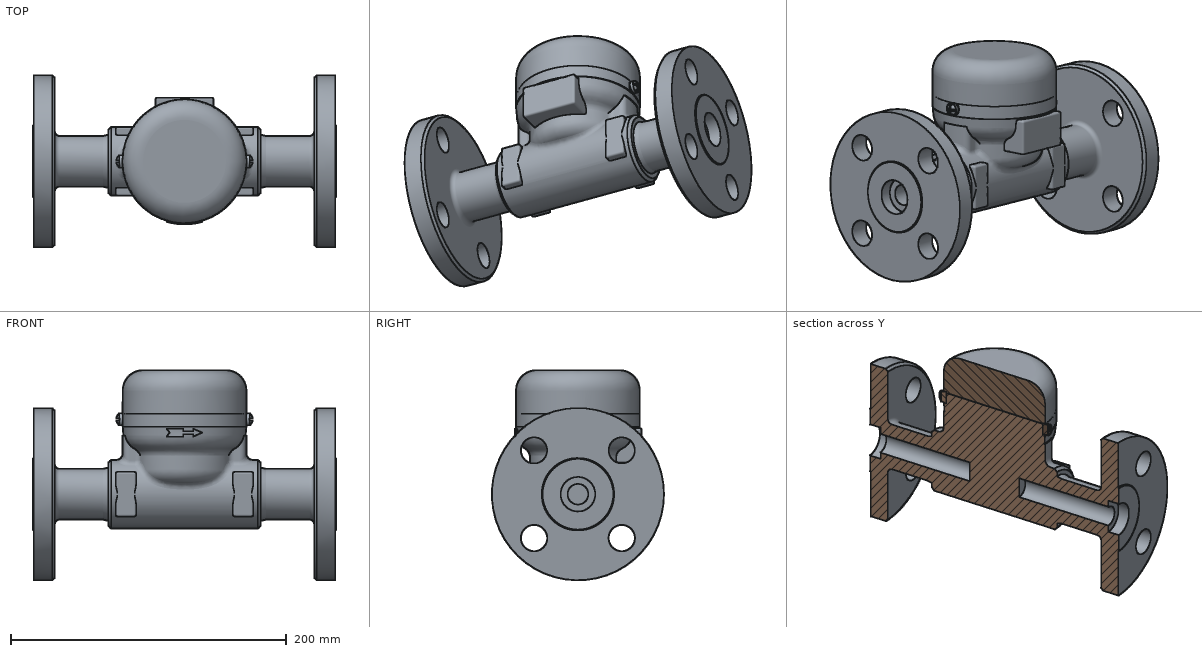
import cadquery as cq


OVERALL_LENGTH = 220.0
FLANGE_DIA = 125.0
FLANGE_THICKNESS = 15.5
FLANGE_CHAMFER = 2.0
RAISED_FACE_DIA = 52.5
RAISED_FACE_HEIGHT = 0.7
BOLT_HOLE_DIA = 19.0
BOLT_SPACING = 63.5
PIPE_DIA = 37.0
FLANGE_FILLET = 3.3
PIPE_TAPER_DIA = 38.7
PIPE_TAPER_LENGTH = 3.5
SOCKET_DIA = 25.0
SOCKET_DEPTH = 9.2
BORE_DIA = 15.0
BORE_DEPTH = 88.0

BARREL_DIA = 50.0
BARREL_LENGTH = 110.9
BARREL_CHAMFER = 2.2

PAD_CENTER_X = 42.5
PAD_WIDTH = 15.0
PAD_HEIGHT = 32.3
EDGE_ROUND = 1.5

DRUM_DIA = 90.0
DRUM_FOOT_DIA = 88.7
SPIGOT_DIA = 88.7
COVER_TOP_Z = 90.0
COVER_ROUND = 15.0
SPIGOT_TOP_Z = 58.5
COVER_RIM_Z = 49.0
DRUM_FOOT_Z = 42.5
UNDERCUT_RADIUS = 38.3
UNDERCUT_Z = 33.0
NECK_DIA = 70.0
NECK_TOP_Z = 28.0
NECK_BOTTOM_Z = 17.8
NECK_ROUND = 10.1
JOINT_FILLET = 4.5

WEB_WIDTH = 24.2
WEB_CORNER_ROUND = 4.5

BOSS_WIDTH = 42.2
BOSS_TOP_Z = 48.0
BOSS_BOTTOM_Z = 22.9
BOSS_FACE_Y = 46.2

ARROW_Z = 44.7
ARROW_TAIL_X = -13.0
ARROW_TIP_X = 12.8
ARROW_NOTCH = 2.2
ARROW_TAIL_END_X = -0.9
ARROW_HEAD_X = 6.4
ARROW_HALF_HEIGHT = 2.9
ARROW_SHAFT_HALF = 1.0
ARROW_FACE_DIA = 91.5

SCREW_DIA = 9.0
SCREW_Z = 54.3
SCREW_RIM_X = 47.3
SCREW_TIP_X = 49.5
SCREW_SEAT_DEPTH = 2.2
SCREW_SLOT_WIDTH = 1.3

HALF_LENGTH = OVERALL_LENGTH / 2
FLANGE_OUTER_X = HALF_LENGTH - RAISED_FACE_HEIGHT
FLANGE_INNER_X = FLANGE_OUTER_X - FLANGE_THICKNESS
DRUM_RADIUS = DRUM_DIA / 2
DRUM_FOOT_RADIUS = DRUM_FOOT_DIA / 2
NECK_RADIUS = NECK_DIA / 2
SCREW_SEAT_X = DRUM_RADIUS - SCREW_SEAT_DEPTH
SIDES = (-1, 1)


def x_cylinder(diameter, x_start, x_end):
    return cq.Workplane("YZ", origin=(x_start, 0, 0)).circle(diameter / 2).extrude(x_end - x_start)


def make_barrel():
    barrel = x_cylinder(BARREL_DIA, -BARREL_LENGTH / 2, BARREL_LENGTH / 2)
    return barrel.faces("<X or >X").chamfer(BARREL_CHAMFER)


def make_drum():
    """Spigot for the cover, lower drum, its curved underside, the neck and the neck's rounded bottom."""
    return (
        cq.Workplane("XZ")
        .moveTo(0, SPIGOT_TOP_Z)
        .lineTo(SPIGOT_DIA / 2, SPIGOT_TOP_Z)
        .lineTo(SPIGOT_DIA / 2, COVER_RIM_Z)
        .lineTo(DRUM_RADIUS, COVER_RIM_Z)
        .lineTo(DRUM_FOOT_RADIUS, DRUM_FOOT_Z)
        .tangentArcPoint((UNDERCUT_RADIUS, UNDERCUT_Z), relative=False)
        .tangentArcPoint((NECK_RADIUS, NECK_TOP_Z), relative=False)
        .lineTo(NECK_RADIUS, NECK_BOTTOM_Z)
        .radiusArc((NECK_RADIUS - NECK_ROUND, NECK_BOTTOM_Z - NECK_ROUND), NECK_ROUND)
        .lineTo(0, NECK_BOTTOM_Z - NECK_ROUND)
        .close()
        .revolve(360, (0, 0, 0), (0, 1, 0))
    )


def make_webs():
    height = DRUM_FOOT_Z
    bar = cq.Workplane("XY").rect(DRUM_DIA, WEB_WIDTH).extrude(height)
    column = cq.Workplane("XY").circle(DRUM_RADIUS).extrude(height)
    webs = bar.intersect(column)
    return webs.edges("|Z").fillet(WEB_CORNER_ROUND)


def make_boss():
    boss = (
        cq.Workplane("XY", origin=(0, 0, BOSS_BOTTOM_Z))
        .rect(BOSS_WIDTH, 2 * BOSS_FACE_Y)
        .extrude(BOSS_TOP_Z - BOSS_BOTTOM_Z)
        .edges("|Y or >Y")
        .fillet(EDGE_ROUND)
    )
    back_half = cq.Workplane("XY").box(
        BOSS_WIDTH, BOSS_FACE_Y, BOSS_TOP_Z, centered=(True, False, False)
    )
    return boss.intersect(back_half)


def make_arrow():
    top = ARROW_Z + ARROW_HALF_HEIGHT
    shaft_top = ARROW_Z + ARROW_SHAFT_HALF
    shaft_bottom = ARROW_Z - ARROW_SHAFT_HALF
    bottom = ARROW_Z - ARROW_HALF_HEIGHT
    outline = [
        (ARROW_TAIL_X, top),
        (ARROW_TAIL_END_X, top),
        (ARROW_TAIL_END_X, shaft_top),
        (ARROW_HEAD_X, shaft_top),
        (ARROW_HEAD_X, top),
        (ARROW_TIP_X, ARROW_Z),
        (ARROW_HEAD_X, bottom),
        (ARROW_HEAD_X, shaft_bottom),
        (ARROW_TAIL_END_X, shaft_bottom),
        (ARROW_TAIL_END_X, bottom),
        (ARROW_TAIL_X, bottom),
        (ARROW_TAIL_X + ARROW_NOTCH, ARROW_Z),
    ]
    arrow = cq.Workplane("XZ").polyline(outline).close().extrude(DRUM_DIA)
    face = cq.Workplane("XY").circle(ARROW_FACE_DIA / 2).extrude(SPIGOT_TOP_Z)
    return arrow.intersect(face)


def make_pad(side):
    """One block through the barrel, which leaves a flat pad on its front and on its back."""
    return (
        cq.Workplane("XY", origin=(side * PAD_CENTER_X, 0, 0))
        .box(PAD_WIDTH, BARREL_DIA, PAD_HEIGHT)
        .edges("|Y or <Y or >Y")
        .fillet(EDGE_ROUND)
    )


def make_pipe_end(side):
    """One pipe with its flange, coved at the flange and tapered at the barrel."""
    barrel_x = BARREL_LENGTH / 2
    pipe_radius = PIPE_DIA / 2
    cove_radius = pipe_radius + FLANGE_FILLET
    flange_radius = FLANGE_DIA / 2
    face_radius = RAISED_FACE_DIA / 2
    end = (
        cq.Workplane("XY")
        .moveTo(0, 0)
        .lineTo(0, PIPE_TAPER_DIA / 2)
        .lineTo(barrel_x, PIPE_TAPER_DIA / 2)
        .lineTo(barrel_x + PIPE_TAPER_LENGTH, pipe_radius)
        .lineTo(FLANGE_INNER_X - FLANGE_FILLET, pipe_radius)
        .radiusArc((FLANGE_INNER_X, cove_radius), -FLANGE_FILLET)
        .lineTo(FLANGE_INNER_X, flange_radius - FLANGE_CHAMFER)
        .lineTo(FLANGE_INNER_X + FLANGE_CHAMFER, flange_radius)
        .lineTo(FLANGE_OUTER_X, flange_radius)
        .lineTo(FLANGE_OUTER_X, face_radius)
        .lineTo(HALF_LENGTH, face_radius - RAISED_FACE_HEIGHT)
        .lineTo(HALF_LENGTH, 0)
        .close()
        .revolve(360, (0, 0, 0), (1, 0, 0))
    )
    bolt_holes = (
        cq.Workplane("YZ", origin=(FLANGE_INNER_X, 0, 0))
        .rect(BOLT_SPACING, BOLT_SPACING, forConstruction=True)
        .vertices()
        .circle(BOLT_HOLE_DIA / 2)
        .extrude(FLANGE_THICKNESS)
    )
    end = end.cut(bolt_holes)
    return end if side > 0 else end.mirror("YZ")


def make_bore(side):
    """Pipe socket with a smaller blind bore behind it."""
    face_x = side * HALF_LENGTH
    socket = x_cylinder(SOCKET_DIA, face_x, face_x - side * SOCKET_DEPTH)
    return socket.union(x_cylinder(BORE_DIA, face_x, face_x - side * BORE_DEPTH))


def make_screw(side):
    """Domed head, let into the drum, with a cross slot as deep as the dome."""
    rim_radius = SCREW_DIA / 2
    dome_height = SCREW_TIP_X - SCREW_RIM_X
    dome_radius = (rim_radius**2 + dome_height**2) / (2 * dome_height)
    screw = (
        cq.Workplane("XY")
        .moveTo(SCREW_SEAT_X, 0)
        .lineTo(SCREW_SEAT_X, rim_radius)
        .lineTo(SCREW_RIM_X, rim_radius)
        .radiusArc((SCREW_TIP_X, 0), dome_radius)
        .close()
        .revolve(360, (0, 0, 0), (1, 0, 0))
    )
    slot = (
        cq.Workplane("YZ", origin=(SCREW_RIM_X, 0, 0))
        .rect(SCREW_DIA, SCREW_SLOT_WIDTH)
        .extrude(dome_height)
    )
    cross = slot.union(slot.rotate((0, 0, 0), (1, 0, 0), 90))
    screw = screw.cut(cross).translate((0, 0, SCREW_Z))
    return screw if side > 0 else screw.mirror("YZ")


def make_blended_core():
    """Barrel, drum and webs in one casting, with fillets where neck and webs meet the barrel."""
    core = make_barrel().union(make_drum()).union(make_webs())
    joint_zone = cq.selectors.BoxSelector(
        (-DRUM_RADIUS, -NECK_RADIUS, 0),
        (DRUM_RADIUS, NECK_RADIUS, BARREL_DIA / 2),
    )
    return core.edges(joint_zone).fillet(JOINT_FILLET)


def make_housing(screws):
    housing = make_blended_core().union(make_boss()).union(make_arrow())
    for side in SIDES:
        housing = housing.union(make_pad(side)).union(make_pipe_end(side))
    for side in SIDES:
        housing = housing.cut(make_bore(side))
    for screw in screws:
        housing = housing.cut(screw)
    return housing


def make_cover(screws):
    cover = (
        cq.Workplane("XY", origin=(0, 0, COVER_RIM_Z))
        .circle(DRUM_RADIUS)
        .extrude(COVER_TOP_Z - COVER_RIM_Z)
        .faces(">Z")
        .edges()
        .fillet(COVER_ROUND)
    )
    spigot_recess = (
        cq.Workplane("XY", origin=(0, 0, COVER_RIM_Z))
        .circle(SPIGOT_DIA / 2)
        .extrude(SPIGOT_TOP_Z - COVER_RIM_Z)
    )
    cover = cover.cut(spigot_recess)
    for screw in screws:
        cover = cover.cut(screw)
    return cover


screws = [make_screw(side) for side in SIDES]
housing = make_housing(screws)
cover = make_cover(screws)

result = cq.Compound.makeCompound([housing.val(), cover.val(), *[screw.val() for screw in screws]])